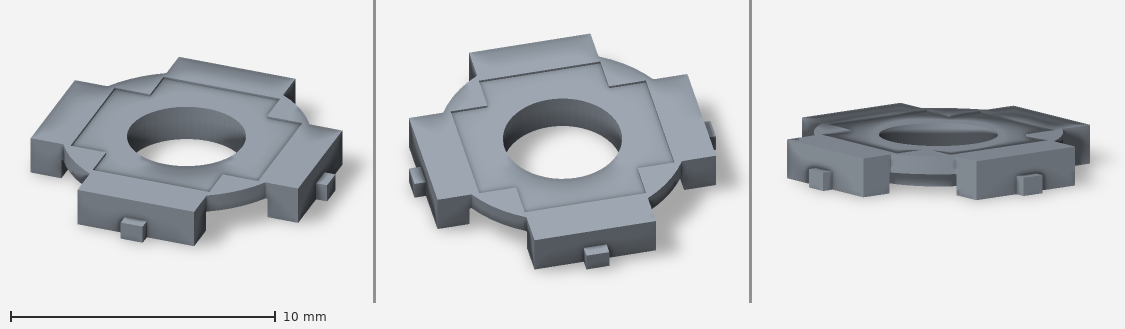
import cadquery as cq

overall_span = 11.7
height = 1.5

arm_span = 10.81
arm_width = 4.72
leg_thickness = 1.24

plate_diameter = 9.43
plate_thickness = 0.7
hub_diameter = 6.1
bore_diameter = 4.5

recess_span = 7.58
recess_depth = 0.09

pin_width = 0.89
pin_height = 0.7

plate_bottom = height - plate_thickness


def cross(span, width, bottom, thickness):
    """Two equal bars crossing at the origin, standing on the given level."""
    plane = cq.Workplane("XY").workplane(offset=bottom)
    bar_x = plane.rect(span, width).extrude(thickness)
    bar_y = plane.rect(width, span).extrude(thickness)
    return bar_x.union(bar_y)


def arm_end():
    """Leg below the +X arm, with its pin at the foot."""
    leg_center = (arm_span - leg_thickness) / 2
    leg = cq.Workplane("XY").center(leg_center, 0).rect(leg_thickness, arm_width).extrude(height)
    pin_length = overall_span / 2 - leg_center
    pin_center = leg_center + pin_length / 2
    pin = cq.Workplane("XY").center(pin_center, 0).rect(pin_length, pin_width).extrude(pin_height)
    return leg.union(pin)


disc = cq.Workplane("XY").workplane(offset=plate_bottom).circle(plate_diameter / 2).extrude(plate_thickness)
body = disc.union(cross(arm_span, arm_width, plate_bottom, plate_thickness))

body = body.union(cq.Workplane("XY").circle(hub_diameter / 2).extrude(height))

for angle in (0, 90, 180, 270):
    body = body.union(arm_end().rotate((0, 0, 0), (0, 0, 1), angle))

body = body.cut(cross(recess_span, arm_width, height - recess_depth, recess_depth))
result = body.cut(cq.Workplane("XY").circle(bore_diameter / 2).extrude(height))